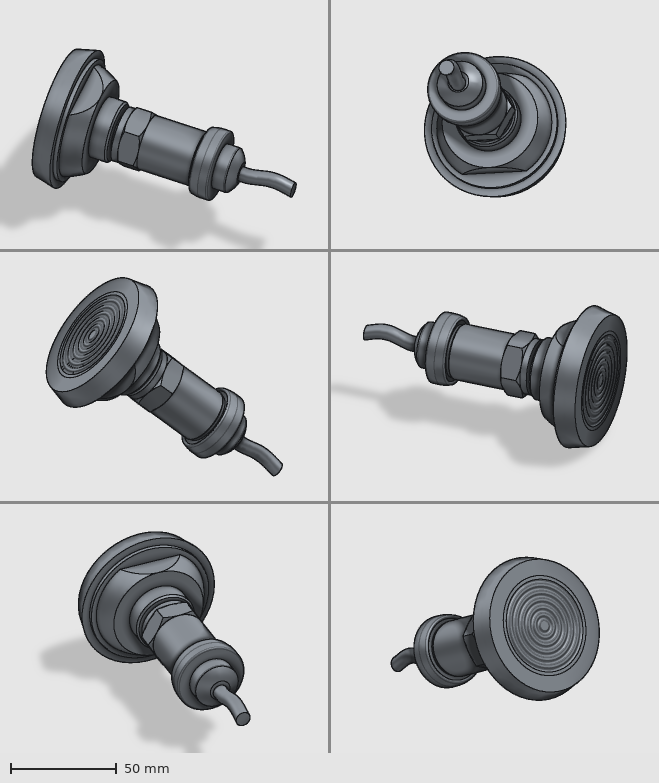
import cadquery as cq
import math

RIM_END = 10.0
RING_END = 12.0
SHOULDER_END = 21.9
BOSS_END = 31.0
COLLAR_START = 32.7
HEX_START = 36.0
HEX_END = 46.0
TUBE_END = 72.4
CAP_START = 73.5
CAP_CROWN = 78.4
CAP_END = 83.2
DOME_START = 89.9
GLAND_END = 93.7
CABLE_END = 120.4

RIM_FRONT_RADIUS = 31.8
RIM_RADIUS = 68.5 / 2
RING_RADIUS = 30.3
SHOULDER_FRONT_RADIUS = 27.8
SHOULDER_BACK_RADIUS = 23.1
SHOULDER_SAG = 0.4
BOSS_RADIUS = 15.0
BOSS_CHAMFER = 1.0

DIAPHRAGM_RADIUS = 24.0
DIAPHRAGM_THICKNESS = 1.5
GROOVE_COUNT = 6
INNER_GROOVE_RADIUS = 3.6
OUTER_GROOVE_RADIUS = 21.3
GROOVE_PITCH = (OUTER_GROOVE_RADIUS - INNER_GROOVE_RADIUS) / (GROOVE_COUNT - 1)
GROOVE_WIDTH = 1.8
GROOVE_DEPTH = 0.5
GROOVE_EDGE_FILLET = 0.5

NECK_RADIUS = 9.0
NECK_FILLET = 0.7
TUBE_RADIUS = 26.8 / 2
HEX_ACROSS_FLATS = 27.0
HEX_CHAMFER_ANGLE = 30.0
TUBE_CHAMFER = 0.5
SEAT_RADIUS = 12.8

CAP_FRONT_RADIUS = 16.5
CAP_RADIUS = 17.2
CAP_FRONT_LIP = 0.8
CAP_BACK_ROUND = 0.7
GLAND_RADIUS = 22.3 / 2
GLAND_EDGE_LENGTH = 0.7
GLAND_EDGE_DROP = 0.1
GLAND_END_RADIUS = 5.0
DOME_MID_RADIUS = 8.7
DOME_MID_X = 92.0
CABLE_RADIUS = 3.6
CABLE_LOW_X = 95.5
CABLE_HIGH_X = 110.4
CABLE_LOW_Z = -0.9
CABLE_HIGH_Z = 2.4
CABLE_SECTIONS = 10


def revolve_about_x(profile):
    """Revolve an XY profile, closed along the X axis, into a full turn."""
    return profile.close().revolve(360, (0, 0, 0), (1, 0, 0))


def cylinder_along_x(radius, start, end):
    return cq.Workplane("YZ", origin=(start, 0, 0)).circle(radius).extrude(end - start)


def make_flange():
    """Tapered rim, ring and boss, with two flats on the shoulder and a recess for the diaphragm."""
    disc = revolve_about_x(
        cq.Workplane("XY")
        .lineTo(0, RIM_FRONT_RADIUS)
        .lineTo(RIM_END, RIM_RADIUS)
        .lineTo(RIM_END, RING_RADIUS)
        .lineTo(RING_END, RING_RADIUS)
        .lineTo(RING_END, 0)
    )
    shoulder = revolve_about_x(
        cq.Workplane("XY")
        .moveTo(RING_END, 0)
        .lineTo(RING_END, SHOULDER_FRONT_RADIUS)
        .sagittaArc((SHOULDER_END, SHOULDER_BACK_RADIUS), SHOULDER_SAG)
        .lineTo(SHOULDER_END, 0)
    )
    between_flats = cq.Workplane("XY").box(
        2 * SHOULDER_END, 2 * RIM_RADIUS, 2 * SHOULDER_BACK_RADIUS
    )
    boss = cylinder_along_x(BOSS_RADIUS, SHOULDER_END, BOSS_END).faces(">X").chamfer(BOSS_CHAMFER)
    recess = cylinder_along_x(DIAPHRAGM_RADIUS, 0, DIAPHRAGM_THICKNESS)
    return disc.union(shoulder.intersect(between_flats)).union(boss).cut(recess)


def make_diaphragm():
    """Thin disc flush with the sensing face, with concentric rounded grooves."""
    profile = cq.Workplane("XY")
    for index in range(GROOVE_COUNT):
        middle = INNER_GROOVE_RADIUS + index * GROOVE_PITCH
        profile = (
            profile.lineTo(0, middle - GROOVE_WIDTH / 2)
            .threePointArc((GROOVE_DEPTH, middle), (0, middle + GROOVE_WIDTH / 2))
        )
    disc = revolve_about_x(
        profile.lineTo(0, DIAPHRAGM_RADIUS)
        .lineTo(DIAPHRAGM_THICKNESS, DIAPHRAGM_RADIUS)
        .lineTo(DIAPHRAGM_THICKNESS, 0)
    )
    groove_edges = [
        edge
        for edge in disc.edges("%CIRCLE").vals()
        if edge.Center().x < GROOVE_DEPTH / 2 and edge.radius() < OUTER_GROOVE_RADIUS
    ]
    return disc.newObject(groove_edges).fillet(GROOVE_EDGE_FILLET)


def make_hexagon():
    """Wrench hexagon with corners at +Y and -Y, and conical chamfers at both ends."""
    corner_radius = HEX_ACROSS_FLATS / 2 / math.cos(math.pi / 6)
    flat_radius = HEX_ACROSS_FLATS / 2
    chamfer_length = (corner_radius - flat_radius) * math.tan(math.radians(HEX_CHAMFER_ANGLE))
    prism = (
        cq.Workplane("YZ", origin=(HEX_START, 0, 0))
        .polygon(6, 2 * corner_radius)
        .extrude(HEX_END - HEX_START)
    )
    chamfer_envelope = revolve_about_x(
        cq.Workplane("XY")
        .moveTo(HEX_START, 0)
        .lineTo(HEX_START, flat_radius)
        .lineTo(HEX_START + chamfer_length, corner_radius)
        .lineTo(HEX_END - chamfer_length, corner_radius)
        .lineTo(HEX_END, flat_radius)
        .lineTo(HEX_END, 0)
    )
    return prism.intersect(chamfer_envelope)


def make_sensor_body():
    """Neck, collar, wrench hexagon and tube, ending in a narrower seat for the cap."""
    turned = revolve_about_x(
        cq.Workplane("XY")
        .moveTo(BOSS_END, 0)
        .lineTo(BOSS_END, NECK_RADIUS)
        .lineTo(COLLAR_START - NECK_FILLET, NECK_RADIUS)
        .radiusArc((COLLAR_START, NECK_RADIUS + NECK_FILLET), -NECK_FILLET)
        .lineTo(COLLAR_START, TUBE_RADIUS)
        .lineTo(TUBE_END, TUBE_RADIUS)
        .lineTo(TUBE_END + TUBE_CHAMFER, TUBE_RADIUS - TUBE_CHAMFER)
        .lineTo(TUBE_END + TUBE_CHAMFER, SEAT_RADIUS)
        .lineTo(CAP_START + CAP_FRONT_LIP, SEAT_RADIUS)
        .lineTo(CAP_START + CAP_FRONT_LIP, 0)
    )
    return turned.union(make_hexagon())


def make_cap():
    """Cap that swells in an arc to its full radius, with a half-round lip around a front recess."""
    front_floor = CAP_START + CAP_FRONT_LIP
    crown_length = CAP_CROWN - front_floor
    rise = CAP_RADIUS - CAP_FRONT_RADIUS
    crown_radius = (crown_length**2 + rise**2) / (2 * rise)
    return revolve_about_x(
        cq.Workplane("XY")
        .moveTo(front_floor, 0)
        .lineTo(front_floor, CAP_FRONT_RADIUS - 2 * CAP_FRONT_LIP)
        .threePointArc(
            (CAP_START, CAP_FRONT_RADIUS - CAP_FRONT_LIP),
            (front_floor, CAP_FRONT_RADIUS),
        )
        .radiusArc((CAP_CROWN, CAP_RADIUS), crown_radius)
        .lineTo(CAP_END - CAP_BACK_ROUND, CAP_RADIUS)
        .radiusArc((CAP_END, CAP_RADIUS - CAP_BACK_ROUND), CAP_BACK_ROUND)
        .lineTo(CAP_END, 0)
    )


def make_gland():
    """Cable gland: a cylinder with a narrow bevel, closed by a dome with a flat end."""
    return revolve_about_x(
        cq.Workplane("XY")
        .moveTo(CAP_END, 0)
        .lineTo(CAP_END, GLAND_RADIUS)
        .lineTo(DOME_START - GLAND_EDGE_LENGTH, GLAND_RADIUS)
        .lineTo(DOME_START, GLAND_RADIUS - GLAND_EDGE_DROP)
        .threePointArc((DOME_MID_X, DOME_MID_RADIUS), (GLAND_END, GLAND_END_RADIUS))
        .lineTo(GLAND_END, 0)
    )


def cable_center_z(x):
    """Height of the cable centre, a cosine wave between its low and high points."""
    middle_z = (CABLE_LOW_Z + CABLE_HIGH_Z) / 2
    amplitude = (CABLE_HIGH_Z - CABLE_LOW_Z) / 2
    phase = math.pi * (x - CABLE_LOW_X) / (CABLE_HIGH_X - CABLE_LOW_X)
    return middle_z - amplitude * math.cos(phase)


def make_cable():
    """Wavy cable lofted through equal circles that all stand square to X."""
    sections = []
    for index in range(CABLE_SECTIONS):
        x = GLAND_END + (CABLE_END - GLAND_END) * index / (CABLE_SECTIONS - 1)
        center = cq.Vector(x, 0, cable_center_z(x))
        sections.append(cq.Wire.makeCircle(CABLE_RADIUS, center, cq.Vector(1, 0, 0)))
    return cq.Workplane(cq.Solid.makeLoft(sections))


flange = make_flange()
diaphragm = make_diaphragm()
sensor_body = make_sensor_body()
cap = make_cap()
gland = make_gland()
cable = make_cable()

result = cq.Compound.makeCompound(
    [flange.val(), diaphragm.val(), sensor_body.val(), cap.val(), gland.val(), cable.val()]
)